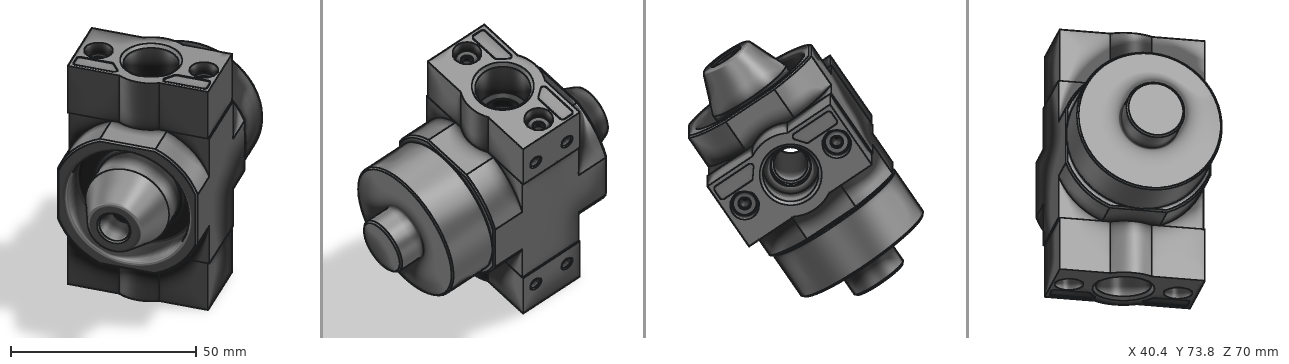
import cadquery as cq
import math


BODY_WIDTH = 40.0
BODY_HALF = BODY_WIDTH / 2
BARREL_DIAMETER = 43.0
BLOCK_DEPTH = 20.0
EDGE_CHAMFER = 0.5
FLOW_BORE = 9.2

RECESS_DIAMETER = 34.9
RECESS_DEPTH = 9.95
RECESS_FILLET = 1.0
HUB_DIAMETER = 23.85
HUB_TIP_DIAMETER = 15.0
HUB_TIP_FILLET = 1.0
HUB_CONE_LENGTH = 11.2
HUB_TIP_Y = -31.1
PILOT_DIAMETER = 8.55
PILOT_CHAMFER = 0.5
PILOT_DEPTH = 9.95

CAP_GAP = 0.15
CAP_CHAMFER = 0.45
CAP_NECK_DIAMETER = 36.15
CAP_END_Y = 34.6
KNOB_DIAMETER = 16.0
KNOB_END_Y = 42.7
KNOB_FOOT_FILLET = 0.5

OVERALL_HEIGHT = 70.0
PORT_HEIGHT = (OVERALL_HEIGHT - BODY_WIDTH) / 2
PORT_SHIFT_X = -0.4
PORT_BOSS_DIAMETER = 23.0
PORT_BORE = 15.0
PORT_BORE_DEPTH = 12.0
PORT_BORE_CHAMFER = 0.9
PORT_PASSAGE = 10.6
PORT_PASSAGE_CHAMFER = 0.2
PORT_TOP = BODY_HALF + PORT_HEIGHT

SIDE_HOLE_DIAMETER = 3.25
SIDE_HOLE_CHAMFER = 0.4
SIDE_HOLE_DEPTH = 6.0
SIDE_HOLE_SPACING = 11.0
SIDE_HOLE_Z = 26.0
DRILL_HALF_ANGLE = 59

LABEL_DEPTH = 0.3
LABEL_INNER_TOP = 8.9
LABEL_INNER_BOTTOM = 5.6
LABEL_OUTER = 19.05
LABEL_TOP_Y = -4.6
LABEL_BOTTOM_Y = -8.8
LABEL_CORNER_RADIUS = 0.9

SCREW_SPACING = 30.0
SCREW_SHANK = 4.0
SCREW_LENGTH = 12.0
SCREW_HEAD = 7.0
SCREW_HEAD_HEIGHT = 4.0
SCREW_HEAD_CHAMFER = 0.4
SCREW_HEAD_SINK = 3.0
COUNTERBORE = 7.75
SOCKET_DIAMETER = 3.0
SOCKET_CHAMFER = 0.2
SOCKET_DEPTH = 2.0
HEAD_TOP_Z = PORT_TOP - SCREW_HEAD_SINK
HEAD_SEAT_Z = HEAD_TOP_Z - SCREW_HEAD_HEIGHT
SCREW_END_Z = HEAD_SEAT_Z - SCREW_LENGTH


def y_cylinder(diameter, start_y, end_y):
    """Cylinder on the main axis."""
    length = end_y - start_y
    return cq.Workplane("XZ", origin=(0, start_y, 0)).circle(diameter / 2).extrude(-length)


def z_cylinder(diameter, bottom_z, top_z, x=0):
    """Cylinder parallel to the flow bore."""
    return cq.Workplane("XY", origin=(x, 0, bottom_z)).circle(diameter / 2).extrude(top_z - bottom_z)


def drilled_hole(diameter, depth, chamfer):
    """Cutter for a chamfered blind hole with a conical bottom, opening at z = 0 and going down."""
    radius = diameter / 2
    tip_depth = depth + radius / math.tan(math.radians(DRILL_HALF_ANGLE))
    return (
        cq.Workplane("XZ")
        .moveTo(0, 0)
        .lineTo(radius + chamfer, 0)
        .lineTo(radius, -chamfer)
        .lineTo(radius, -depth)
        .lineTo(0, -tip_depth)
        .close()
        .revolve(360, (0, 0, 0), (0, 1, 0))
    )


def rim_cutter(diameter, chamfer, top_z):
    """Cutter for the 45 degree chamfer at the top rim of a hole on the flow bore axis."""
    radius = diameter / 2
    cone = cq.Solid.makeCone(radius, radius + chamfer, chamfer, pnt=cq.Vector(0, 0, top_z - chamfer))
    return cq.Workplane(cone)


def make_hub():
    """Conical hub on the recess floor, with its rounded foot and tip and the pilot port."""
    floor_y = RECESS_DEPTH - BODY_HALF
    cone_end_y = HUB_TIP_Y + HUB_CONE_LENGTH
    hub_radius = HUB_DIAMETER / 2
    hub = (
        cq.Workplane("XY")
        .moveTo(0, HUB_TIP_Y)
        .lineTo(HUB_TIP_DIAMETER / 2, HUB_TIP_Y)
        .lineTo(hub_radius, cone_end_y)
        .lineTo(hub_radius, floor_y - RECESS_FILLET)
        .radiusArc((hub_radius + RECESS_FILLET, floor_y), -RECESS_FILLET)
        .lineTo(0, floor_y)
        .close()
        .revolve(360, (0, 0, 0), (0, 1, 0))
        .faces("<Y").edges().fillet(HUB_TIP_FILLET)
    )
    pilot = y_cylinder(PILOT_DIAMETER, HUB_TIP_Y, HUB_TIP_Y + PILOT_DEPTH)
    return hub.cut(pilot).faces("<Y").edges(cq.selectors.RadiusNthSelector(0)).chamfer(PILOT_CHAMFER)


def make_housing():
    """Square block with rounded end sections, the front recess, the flow bore and the screw holes."""
    square = cq.Workplane("XY").box(BODY_WIDTH, BODY_WIDTH, BODY_WIDTH)
    barrel = y_cylinder(BARREL_DIAMETER, -BODY_HALF, BODY_HALF).intersect(square)
    barrel = barrel.faces("<Y or >Y").edges().chamfer(EDGE_CHAMFER)
    block = cq.Workplane("XY").box(BODY_WIDTH, BLOCK_DEPTH, BODY_WIDTH)
    housing = barrel.union(block)

    recess = y_cylinder(RECESS_DIAMETER, -BODY_HALF, RECESS_DEPTH - BODY_HALF)
    housing = housing.cut(recess.faces(">Y").edges().fillet(RECESS_FILLET))
    lip = housing.faces("<Y").edges(cq.selectors.RadiusNthSelector(0))
    housing = lip.fillet(RECESS_FILLET).union(make_hub())

    housing = housing.cut(z_cylinder(FLOW_BORE, -BODY_HALF, BODY_HALF))
    for x in (-SCREW_SPACING / 2, SCREW_SPACING / 2):
        housing = housing.cut(z_cylinder(SCREW_SHANK, SCREW_END_Z, BODY_HALF, x))
        housing = housing.cut(z_cylinder(SCREW_SHANK, -BODY_HALF, -SCREW_END_Z, x))
    return housing


def make_cap():
    """Round rear cap on a short neck, with a filleted knob."""
    rim_y = BODY_HALF + CAP_GAP
    cap = y_cylinder(BODY_WIDTH, rim_y, CAP_END_Y).edges().chamfer(CAP_CHAMFER)
    knob = y_cylinder(KNOB_DIAMETER, CAP_END_Y, KNOB_END_Y).faces(">Y").edges().chamfer(EDGE_CHAMFER)
    cap = cap.union(knob)
    rear_face = cap.faces(cq.selectors.NearestToPointSelector((0, CAP_END_Y, 0)))
    knob_foot = rear_face.edges(cq.selectors.RadiusNthSelector(0))
    cap = knob_foot.fillet(KNOB_FOOT_FILLET)
    return cap.union(y_cylinder(CAP_NECK_DIAMETER, BODY_HALF, rim_y))


def label_recess(side):
    """Cutter for the label recess; side is -1 for left and 1 for right."""
    corners = [
        (LABEL_INNER_TOP, LABEL_TOP_Y),
        (LABEL_OUTER, LABEL_TOP_Y),
        (LABEL_OUTER, LABEL_BOTTOM_Y),
        (LABEL_INNER_BOTTOM, LABEL_BOTTOM_Y),
    ]
    outline = [(PORT_SHIFT_X + side * x, y) for x, y in corners]
    recess = cq.Workplane("XY", origin=(0, 0, PORT_TOP)).polyline(outline).close().extrude(-LABEL_DEPTH)
    return recess.edges("|Z").fillet(LABEL_CORNER_RADIUS)


def make_upper_port():
    """Port plate with a round boss, the stepped port, screw seats, labels and side holes."""
    plate = cq.Workplane("XY").box(BODY_WIDTH, BLOCK_DEPTH, PORT_HEIGHT)
    plate = plate.translate((PORT_SHIFT_X, 0, BODY_HALF + PORT_HEIGHT / 2))
    port = plate.union(z_cylinder(PORT_BOSS_DIAMETER, BODY_HALF, PORT_TOP))

    bore_floor_z = PORT_TOP - PORT_BORE_DEPTH
    port = port.cut(z_cylinder(PORT_BORE, bore_floor_z, PORT_TOP))
    port = port.cut(rim_cutter(PORT_BORE, PORT_BORE_CHAMFER, PORT_TOP))
    port = port.cut(z_cylinder(PORT_PASSAGE, BODY_HALF, bore_floor_z))
    port = port.cut(rim_cutter(PORT_PASSAGE, PORT_PASSAGE_CHAMFER, bore_floor_z))

    for side in (-1, 1):
        x = side * SCREW_SPACING / 2
        port = port.cut(z_cylinder(SCREW_SHANK, BODY_HALF, HEAD_SEAT_Z, x))
        port = port.cut(z_cylinder(COUNTERBORE, HEAD_SEAT_Z, PORT_TOP, x))
        port = port.cut(label_recess(side))

    side_hole = drilled_hole(SIDE_HOLE_DIAMETER, SIDE_HOLE_DEPTH, SIDE_HOLE_CHAMFER)
    side_hole = side_hole.rotate((0, 0, 0), (0, 1, 0), -90)
    for y in (-SIDE_HOLE_SPACING / 2, SIDE_HOLE_SPACING / 2):
        port = port.cut(side_hole.translate((PORT_SHIFT_X - BODY_HALF, y, SIDE_HOLE_Z)))
    return port


def make_upper_screw(x):
    """Socket head screw holding the upper port plate."""
    head = z_cylinder(SCREW_HEAD, HEAD_SEAT_Z, HEAD_TOP_Z).faces(">Z").edges().chamfer(SCREW_HEAD_CHAMFER)
    screw = head.union(z_cylinder(SCREW_SHANK, SCREW_END_Z, HEAD_SEAT_Z))
    socket = drilled_hole(SOCKET_DIAMETER, SOCKET_DEPTH, SOCKET_CHAMFER)
    return screw.cut(socket.translate((0, 0, HEAD_TOP_Z))).translate((x, 0, 0))


housing = make_housing()
cap = make_cap()
upper_port = make_upper_port()
ports = [upper_port, upper_port.mirror("XY")]
screws = []
for screw_x in (-SCREW_SPACING / 2, SCREW_SPACING / 2):
    upper_screw = make_upper_screw(screw_x)
    screws += [upper_screw, upper_screw.mirror("XY")]

bodies = [housing, cap, *ports, *screws]
result = cq.Compound.makeCompound([body.val() for body in bodies])